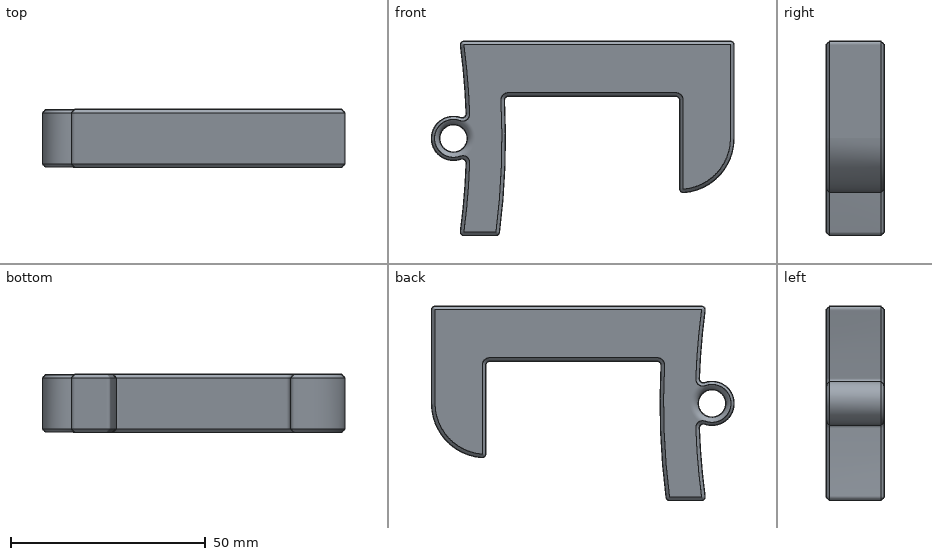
import cadquery as cq
import math

length = 77.7
width = 15.0
height = 50.0
half_height = height / 2

leg_apex_x = 9.0
leg_thickness = 10.0
leg_outer_radius = 180.3
leg_inner_radius = leg_outer_radius + leg_thickness
leg_centre_x = leg_apex_x - leg_outer_radius

ceiling_z = 10.8
hook_radius = 14.0
hook_inner_x = length - hook_radius

eyelet_radius = 5.7
hole_radius = 7.0 / 2
hole_rounding = 2.1

corner_radius = 1.0
bevel = 0.9


def arc_x(radius, z):
    """X of a leg arc at height z."""
    return leg_centre_x + math.sqrt(radius**2 - z**2)


def make_frame():
    """Crossbar, curved leg and hook, extruded symmetrically about Y = 0."""
    outer_end_x = arc_x(leg_outer_radius, half_height)
    inner_end_x = arc_x(leg_inner_radius, half_height)
    inner_top_x = arc_x(leg_inner_radius, ceiling_z)
    diagonal = hook_radius * math.sqrt(0.5)
    return (
        cq.Workplane("XZ")
        .moveTo(outer_end_x, half_height)
        .lineTo(length, half_height)
        .lineTo(length, 0)
        .threePointArc((hook_inner_x + diagonal, -diagonal), (hook_inner_x, -hook_radius))
        .lineTo(hook_inner_x, ceiling_z)
        .lineTo(inner_top_x, ceiling_z)
        .threePointArc((leg_apex_x + leg_thickness, 0), (inner_end_x, -half_height))
        .lineTo(outer_end_x, -half_height)
        .threePointArc((leg_apex_x, 0), (outer_end_x, half_height))
        .close()
        .extrude(width / 2, both=True)
    )


def make_eyelet():
    """Solid barrel of the eyelet."""
    return (
        cq.Workplane("XZ")
        .center(eyelet_radius, 0)
        .circle(eyelet_radius)
        .extrude(width / 2, both=True)
    )


def make_hole():
    """Through hole whose mouths flare out along a quarter round."""
    face_y = width / 2
    throat_y = face_y - hole_rounding
    mouth_radius = hole_radius + hole_rounding
    round_offset = hole_rounding * math.sqrt(0.5)
    mid_radius = mouth_radius - round_offset
    mid_y = throat_y + round_offset
    return (
        cq.Workplane("XY")
        .center(eyelet_radius, 0)
        .moveTo(0, -face_y)
        .lineTo(mouth_radius, -face_y)
        .threePointArc((mid_radius, -mid_y), (hole_radius, -throat_y))
        .lineTo(hole_radius, throat_y)
        .threePointArc((mid_radius, mid_y), (mouth_radius, face_y))
        .lineTo(0, face_y)
        .close()
        .revolve(360, (0, 0, 0), (0, 1, 0))
    )


body = make_frame().union(make_eyelet())
body = body.edges("|Y").fillet(corner_radius)
body = body.faces("<Y or >Y").edges().chamfer(bevel)

result = body.cut(make_hole())